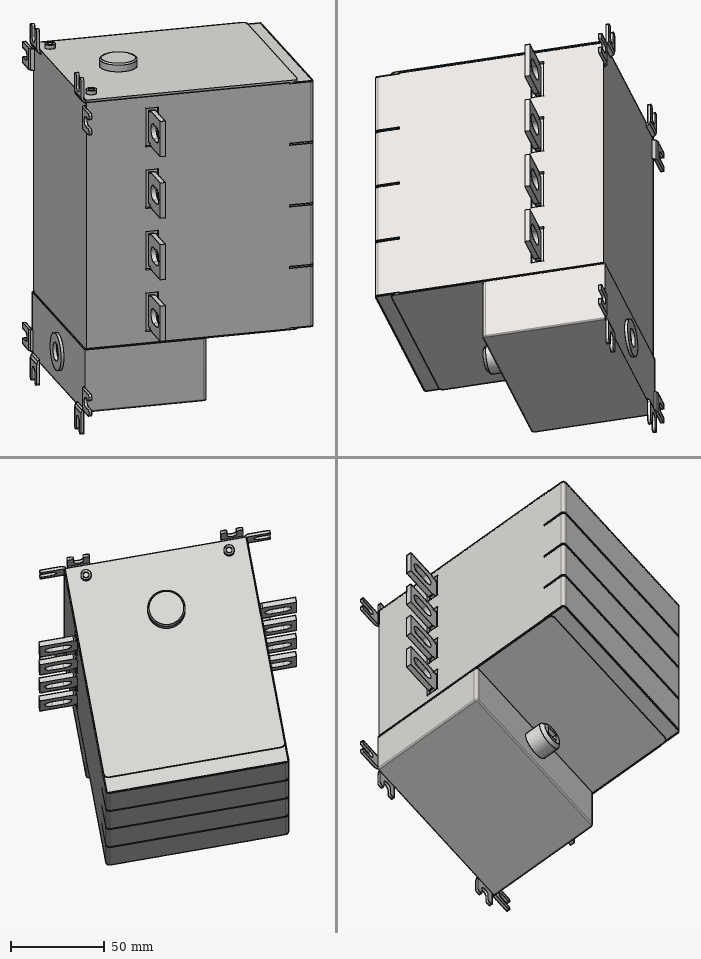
import cadquery as cq

height = 202.0
overall_width = 140.0
depth = 129.9
joint_overlap = 1.0

body_width = 99.8
body_front = 2.5
body_corner_radius = 2.0

pole_count = 4
pole_pitch = 35.0
first_pole_z = 70.5
body_top = first_pole_z + pole_pitch / 2
body_bottom = body_top - pole_count * pole_pitch
groove_width = 1.0
groove_depth = 0.6
groove_length = 13.7

cover_thickness = 1.2
foot_thickness = 0.6
plate_back = 121.2
plate_inset = 0.6
plate_corner = 2.5

box_front = 1.6
box_back = 69.9
box_bottom = -87.9
box_corner_radius = 1.8
box_bottom_radius = 0.8

shaft_z = -69.7
collar_radius = 10.3
knob_radius = 8.3
knob_end = 81.6
knob_chamfer = 2.0
socket_radius = 5.0
socket_depth = 2.0
square_side = 6.5

button_radius = 10.0
button_y = 35.1
button_height = 4.6
button_chamfer = 0.8
screw_radius = 2.8
screw_hole_radius = 1.6
screw_x = 39.0
screw_y = 8.5
screw_height = 2.2
screw_hole_depth = 1.2

bar_y = 39.2
bar_thickness = 2.8
bar_width = 20.0
bar_shoulder = 50.5
bar_chamfer = 1.0
bar_hole_x = 60.0
bar_hole_length = 14.5
bar_hole_width = 8.3
pocket_thickness = 7.0
pocket_height = 21.8
pocket_depth = 2.0

lug_width = 12.1
lug_thickness = 1.6
lug_slot_width = 5.3
lug_slot_depth = 8.9
lug_tip_radius = 1.2
bend_start = 1.0
bend_middle = 0.8
bend_drop = 0.6
bend_slope = 1.3
end_lug_x = 41.8
side_lug_z = 79.8
side_lug_tip = 62.8


def block(x_range, y_range, z_range):
    """Box between the given limits."""
    size = [limits[1] - limits[0] for limits in (x_range, y_range, z_range)]
    corner = (x_range[0], y_range[0], z_range[0])
    return cq.Workplane("XY").box(*size, centered=False).translate(corner)


def centred(width):
    return (-width / 2, width / 2)


def end_plate(z_low, z_high):
    """Thin plate on one end of the housing, with its two rear corners rounded."""
    plate = block(
        centred(body_width - 2 * plate_inset),
        (body_front, plate_back),
        (z_low, z_high),
    )
    return plate.edges("|Z and >Y").fillet(plate_corner)


def housing():
    body = block(centred(body_width), (body_front, depth), (body_bottom, body_top))
    body = body.edges("|Z and >Y").fillet(body_corner_radius)
    for index in range(pole_count + 1):
        groove_z = body_top - index * pole_pitch
        z_range = (groove_z - groove_width / 2, groove_z + groove_width / 2)
        y_range = (depth - groove_length, depth)
        ring = block(centred(body_width), y_range, z_range)
        core = block(
            centred(body_width - 2 * groove_depth),
            (depth - groove_length, depth - groove_depth),
            z_range,
        )
        body = body.cut(ring.cut(core))
    body = body.union(end_plate(body_top - joint_overlap, body_top + cover_thickness))
    return body.union(end_plate(body_bottom - foot_thickness, body_bottom + joint_overlap))


def drive_box():
    box_top = body_bottom - foot_thickness
    box = block(centred(body_width), (box_front, box_back), (box_bottom, box_top))
    box = box.edges("|Z and >Y").fillet(box_corner_radius)
    return box.edges("|Y and <Z").fillet(box_bottom_radius)


def rod_along_y(radius, y_start, y_end):
    """Cylinder on the shaft axis."""
    return (
        cq.Workplane("XZ", origin=(0, y_start, shaft_z))
        .circle(radius)
        .extrude(y_start - y_end)
    )


def add_drive_shaft(part):
    knob = rod_along_y(knob_radius, box_back - joint_overlap, knob_end)
    knob = knob.faces(">Y").chamfer(knob_chamfer)
    part = part.union(knob).union(rod_along_y(collar_radius, 0, box_front + joint_overlap))
    half_square = square_side / 2
    square_hole = block(
        centred(square_side),
        (0, knob_end),
        (shaft_z - half_square, shaft_z + half_square),
    )
    return part.cut(square_hole).cut(rod_along_y(socket_radius, 0, socket_depth))


def top_fittings():
    plate_top = body_top + cover_thickness
    base = cq.Workplane("XY", origin=(0, 0, plate_top - joint_overlap))
    button = base.center(0, button_y).circle(button_radius).extrude(button_height + joint_overlap)
    fittings = button.faces(">Z").chamfer(button_chamfer)
    for x in (-screw_x, screw_x):
        screw = base.center(x, screw_y).circle(screw_radius).extrude(screw_height + joint_overlap)
        screw = screw.faces(">Z").workplane().hole(2 * screw_hole_radius, screw_hole_depth)
        fittings = fittings.union(screw)
    return fittings


def terminal_pocket(z):
    """Recess around one terminal on the +X side."""
    half_height = pocket_height / 2
    half_thickness = pocket_thickness / 2
    return block(
        (body_width / 2 - pocket_depth, body_width / 2),
        (bar_y - half_thickness, bar_y + half_thickness),
        (z - half_height, z + half_height),
    )


def terminal_bar(z):
    """Slotted bar on the +X side with two chamfered corners and a narrower root."""
    half_width = bar_width / 2
    half_thickness = bar_thickness / 2
    bar = block(
        (bar_shoulder, overall_width / 2),
        (bar_y - half_thickness, bar_y + half_thickness),
        (z - half_width, z + half_width),
    )
    bar = bar.edges("|Y and <X").chamfer(bar_chamfer)
    root_half_width = half_width - bar_chamfer
    root = block(
        (body_width / 2 - pocket_depth - joint_overlap, bar_shoulder + bar_chamfer),
        (bar_y - half_thickness, bar_y + half_thickness),
        (z - root_half_width, z + root_half_width),
    )
    hole = (
        cq.Workplane("XZ", origin=(bar_hole_x, bar_y, z))
        .slot2D(bar_hole_length, bar_hole_width)
        .extrude(bar_thickness, both=True)
    )
    return bar.union(root).cut(hole)


def add_terminals(part):
    for index in range(pole_count):
        z = first_pole_z - index * pole_pitch
        pocket = terminal_pocket(z)
        bar = terminal_bar(z)
        part = part.cut(pocket).cut(pocket.mirror("YZ"))
        part = part.union(bar).union(bar.mirror("YZ"))
    return part


def fork_lug(tip, edge, seat):
    """Fork lug pointing +Z, bent in two steps back onto a housing face.

    tip: height of the fork ends, edge: height of the housing edge it crosses,
    seat: Y of the housing face it is fixed to.
    """
    steep_start = edge - bend_middle
    foot = seat + joint_overlap
    foot_end = steep_start - (foot - bend_drop) / bend_slope
    strip = (
        cq.Workplane("YZ")
        .moveTo(0, tip)
        .lineTo(0, edge + bend_start)
        .lineTo(bend_drop, steep_start)
        .lineTo(foot, foot_end)
        .lineTo(foot, steep_start)
        .lineTo(lug_thickness, edge)
        .lineTo(lug_thickness, tip)
        .close()
        .extrude(lug_width / 2, both=True)
    )
    slot_radius = lug_slot_width / 2
    slot_end = tip - lug_slot_depth
    slot = (
        cq.Workplane("XZ")
        .moveTo(-slot_radius, tip)
        .lineTo(-slot_radius, slot_end + slot_radius)
        .threePointArc((0, slot_end), (slot_radius, slot_end + slot_radius))
        .lineTo(slot_radius, tip)
        .close()
        .extrude(-lug_thickness)
    )
    return strip.cut(slot).faces(">Z").edges("|Y").fillet(lug_tip_radius)


def add_lugs(part):
    y_axis = ((0, 0, 0), (0, 1, 0))
    top_lug = fork_lug(height / 2, body_top + cover_thickness, body_front)
    bottom_lug = fork_lug(height / 2, -box_bottom, box_front).rotate(*y_axis, 180)
    upper_side_lug = fork_lug(side_lug_tip, body_width / 2, body_front).rotate(*y_axis, 90)
    lower_side_lug = fork_lug(side_lug_tip, body_width / 2, box_front).rotate(*y_axis, 90)
    right_lugs = (
        top_lug.translate((end_lug_x, 0, 0)),
        bottom_lug.translate((end_lug_x, 0, 0)),
        upper_side_lug.translate((0, 0, side_lug_z)),
        lower_side_lug.translate((0, 0, -side_lug_z)),
    )
    for lug in right_lugs:
        part = part.union(lug).union(lug.mirror("YZ"))
    return part


result = housing().union(drive_box())
result = add_drive_shaft(result)
result = result.union(top_fittings())
result = add_terminals(result)
result = add_lugs(result)